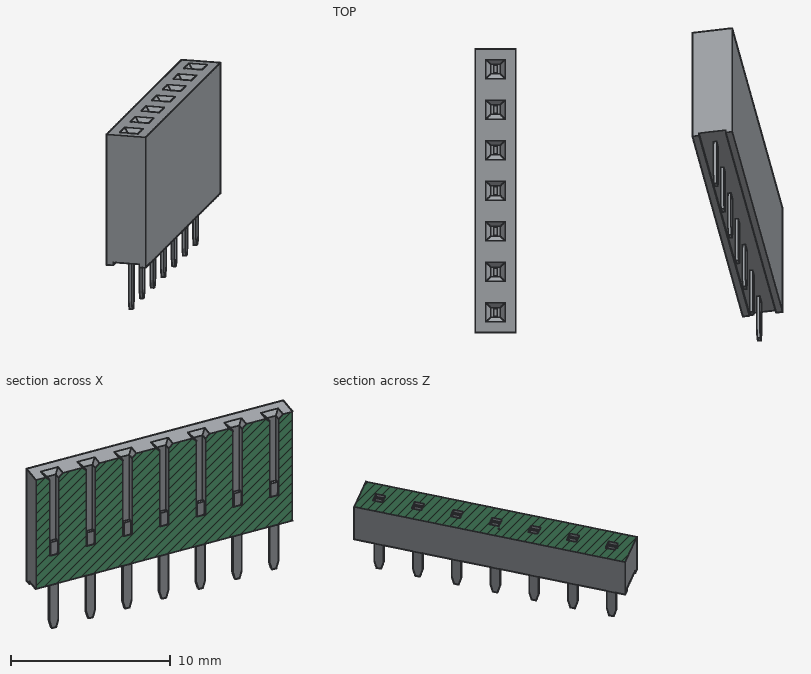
import cadquery as cq

contact_count = 7
body_length = 17.78
body_height = 8.5
pitch = body_length / contact_count
body_width = pitch

channel_width = 1.69
channel_depth = 0.2

entry_size = 1.2
throat_size = 0.6
entry_depth = (entry_size - throat_size) / 2
socket_depth = 6.05

pin_width = 0.6
pin_thickness = 0.2
pin_length = 3.1
tip_width = 0.3
tip_height = 0.55
blade_width = 0.48
blade_height = 1.0

contact_centers = [(0, (i - (contact_count - 1) / 2) * pitch) for i in range(contact_count)]
socket_floor = body_height - socket_depth


def make_body():
    """Rectangular housing with a channel along its underside, feet at Z = 0."""
    housing = cq.Workplane("XY").box(body_width, body_length, body_height, centered=(True, True, False))
    channel = cq.Workplane("XY").box(channel_width, body_length, channel_depth, centered=(True, True, False))
    return housing.cut(channel)


def make_socket():
    """Square hole with a pyramidal lead-in at the top of the housing."""
    lead_in = (
        cq.Workplane("XY")
        .workplane(offset=body_height - entry_depth)
        .rect(throat_size, throat_size)
        .workplane(offset=entry_depth)
        .rect(entry_size, entry_size)
        .loft(ruled=True)
    )
    throat = (
        cq.Workplane("XY")
        .workplane(offset=socket_floor)
        .rect(throat_size, throat_size)
        .extrude(socket_depth - entry_depth)
    )
    return throat.union(lead_in)


def make_pin():
    """Flat solder pin with a tapered tip, rooted in the housing above the channel."""
    half_width = pin_width / 2
    half_tip = tip_width / 2
    shoulder = tip_height - pin_length
    outline = [
        (-half_width, socket_floor),
        (-half_width, shoulder),
        (-half_tip, -pin_length),
        (half_tip, -pin_length),
        (half_width, shoulder),
        (half_width, socket_floor),
    ]
    return cq.Workplane("YZ").polyline(outline).close().extrude(pin_thickness / 2, both=True)


def make_blade():
    """Narrow contact blade standing on the socket floor."""
    return (
        cq.Workplane("XY")
        .workplane(offset=socket_floor)
        .rect(pin_thickness, blade_width)
        .extrude(blade_height)
    )


socket = make_socket()
contact = make_pin().union(make_blade())

result = make_body()
for x, y in contact_centers:
    result = result.cut(socket.translate((x, y, 0)))
    result = result.union(contact.translate((x, y, 0)))